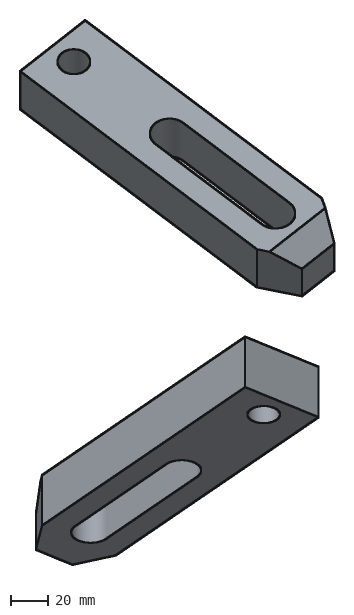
import cadquery as cq
import math

length = 200.0
width = 50.0
height = 32.0

nose_angle = math.radians(30)
nose_tip_width = 25.0
nose_drop = 9.0
side_taper_length = (width - nose_tip_width) / 2 / math.tan(nose_angle)
top_bevel_length = nose_drop / math.tan(nose_angle)

hole_diameter = 17.5
hole_x = 16.0

slot_width = 21.0
slot_start_x = 77.5
slot_end_x = 178.5


def make_bar():
    """Flat bar whose sides taper in towards the nose tip."""
    taper_start_x = length - side_taper_length
    outline = [
        (0, -width / 2),
        (taper_start_x, -width / 2),
        (length, -nose_tip_width / 2),
        (length, nose_tip_width / 2),
        (taper_start_x, width / 2),
        (0, width / 2),
    ]
    return cq.Workplane("XY").polyline(outline).close().extrude(height)


def make_nose_bevel():
    """Wedge removed from the top of the nose."""
    wedge = [
        (length - top_bevel_length, height),
        (length, height),
        (length, height - nose_drop),
    ]
    return cq.Workplane("XZ").polyline(wedge).close().extrude(width / 2, both=True)


def make_hole():
    """Through hole on the centre line."""
    return cq.Workplane("XY").center(hole_x, 0).circle(hole_diameter / 2).extrude(height)


def make_slot():
    """Through slot on the centre line."""
    slot_centre_x = (slot_start_x + slot_end_x) / 2
    slot_length = slot_end_x - slot_start_x
    return cq.Workplane("XY").center(slot_centre_x, 0).slot2D(slot_length, slot_width).extrude(height)


result = make_bar().cut(make_nose_bevel()).cut(make_hole()).cut(make_slot())